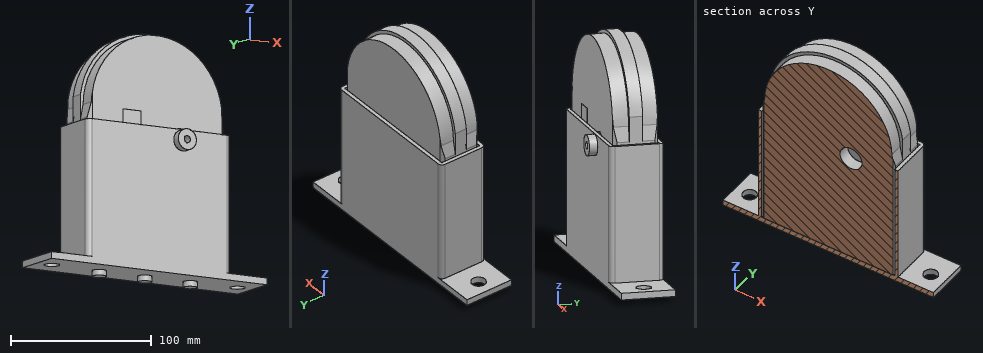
import cadquery as cq
import math

BASE_LENGTH = 180.0
HOUSING_DEPTH = 40.0
BASE_THICKNESS = 5.0
HOUSING_WIDTH = 119.5
HOUSING_TOP = 105.0
WALL = 3.0
CORNER_RADIUS = 3.6
MOUNT_HOLE_DIAMETER = 11.0
MOUNT_HOLE_X = 77.4

BOSS_X = 19.5
BOSS_Z = 97.0
BOSS_DIAMETER = 15.1
BOSS_HEIGHT = 6.1
BOSS_BORE = 5.0

SLIDER_WIDTH = 113.4
SLIDER_DEPTH = 33.3
DOME_TOP = 174.5
RIB_RADIUS = 57.2
RIB_THICKNESS = 9.9
RIB_STEP = 2.7
DOME_CENTER_Z = DOME_TOP - RIB_RADIUS
CHEEK_RADIUS = RIB_RADIUS - RIB_STEP
RAMP_TOP = 117.9
RAMP_BOTTOM = 107.0
CORNER_CHAMFER = 2.7

ROUND_RECESS_DIAMETER = 18.4
ROUND_RECESS_DEPTH = 10.8
MARK_LEFT = -28.3
MARK_WIDTH = 15.0
MARK_TOP = 115.5
MARK_HEIGHT = 15.0
MARK_DEPTH = 0.09

PIN_DIAMETER = 10.0
PIN_PITCH = 38.0
PIN_PROJECTION = 4.1
PIN_XS = [-PIN_PITCH, 0, PIN_PITCH]


def front_cylinder(x, z, diameter, y_start, length):
    """Cylinder running from y_start toward +Y."""
    plane = cq.Plane(origin=(x, y_start, z), xDir=(1, 0, 0), normal=(0, 1, 0))
    return cq.Workplane(plane).circle(diameter / 2).extrude(length)


def make_housing():
    base = cq.Workplane("XY").box(BASE_LENGTH, HOUSING_DEPTH, BASE_THICKNESS, centered=(True, True, False))
    tube = (
        cq.Workplane("XY")
        .box(HOUSING_WIDTH, HOUSING_DEPTH, HOUSING_TOP, centered=(True, True, False))
        .edges("|Z")
        .fillet(CORNER_RADIUS)
    )
    cavity = (
        cq.Workplane("XY")
        .workplane(offset=BASE_THICKNESS)
        .rect(HOUSING_WIDTH - 2 * WALL, HOUSING_DEPTH - 2 * WALL)
        .extrude(HOUSING_TOP - BASE_THICKNESS)
    )
    mount_holes = (
        cq.Workplane("XY")
        .pushPoints([(-MOUNT_HOLE_X, 0), (MOUNT_HOLE_X, 0)])
        .circle(MOUNT_HOLE_DIAMETER / 2)
        .extrude(BASE_THICKNESS)
    )
    pin_holes = (
        cq.Workplane("XY")
        .pushPoints([(x, 0) for x in PIN_XS])
        .circle(PIN_DIAMETER / 2)
        .extrude(BASE_THICKNESS)
    )
    boss_front = -HOUSING_DEPTH / 2 - BOSS_HEIGHT
    boss = front_cylinder(BOSS_X, BOSS_Z, BOSS_DIAMETER, boss_front, BOSS_HEIGHT)
    bore = front_cylinder(BOSS_X, BOSS_Z, BOSS_BORE, boss_front, BOSS_HEIGHT + WALL)
    return base.union(tube).cut(cavity).cut(mount_holes).cut(pin_holes).union(boss).cut(bore)


def rib_profile():
    """Full-width outline whose sides meet the dome arc just above its center."""
    half_width = SLIDER_WIDTH / 2
    arc_start_z = DOME_CENTER_Z + math.sqrt(RIB_RADIUS**2 - half_width**2)
    return (
        cq.Workplane("XZ")
        .moveTo(-half_width, BASE_THICKNESS)
        .lineTo(-half_width, arc_start_z)
        .threePointArc((0, DOME_TOP), (half_width, arc_start_z))
        .lineTo(half_width, BASE_THICKNESS)
        .close()
    )


def cheek_profile():
    """Smaller dome that ramps out to the full width near the housing mouth."""
    half_width = SLIDER_WIDTH / 2
    arc_half_width = math.sqrt(CHEEK_RADIUS**2 - (RAMP_TOP - DOME_CENTER_Z) ** 2)
    return (
        cq.Workplane("XZ")
        .moveTo(-half_width, BASE_THICKNESS)
        .lineTo(-half_width, RAMP_BOTTOM)
        .lineTo(-arc_half_width, RAMP_TOP)
        .threePointArc((0, DOME_CENTER_Z + CHEEK_RADIUS), (arc_half_width, RAMP_TOP))
        .lineTo(half_width, RAMP_BOTTOM)
        .lineTo(half_width, BASE_THICKNESS)
        .close()
    )


def make_slider():
    front_y = -SLIDER_DEPTH / 2
    rib = rib_profile().extrude(RIB_THICKNESS / 2, both=True)
    cheeks = cheek_profile().extrude(SLIDER_DEPTH / 2, both=True)
    chamfered_envelope = (
        cq.Workplane("XY")
        .box(SLIDER_WIDTH, SLIDER_DEPTH, DOME_TOP, centered=(True, True, False))
        .edges("|Z")
        .chamfer(CORNER_CHAMFER)
    )
    round_recess = front_cylinder(BOSS_X, BOSS_Z, ROUND_RECESS_DIAMETER, front_y, ROUND_RECESS_DEPTH)
    mark = cq.Workplane("XY").box(MARK_WIDTH, MARK_DEPTH, MARK_HEIGHT, centered=False).translate(
        (MARK_LEFT, front_y, MARK_TOP - MARK_HEIGHT)
    )
    return cheeks.intersect(chamfered_envelope).union(rib).cut(round_recess).cut(mark)


def make_pin(x):
    return (
        cq.Workplane("XY", origin=(x, 0, -PIN_PROJECTION))
        .circle(PIN_DIAMETER / 2)
        .extrude(PIN_PROJECTION + BASE_THICKNESS)
    )


housing = make_housing()
slider = make_slider()
pins = [make_pin(x).val() for x in PIN_XS]

result = cq.Compound.makeCompound([housing.val(), slider.val(), *pins])